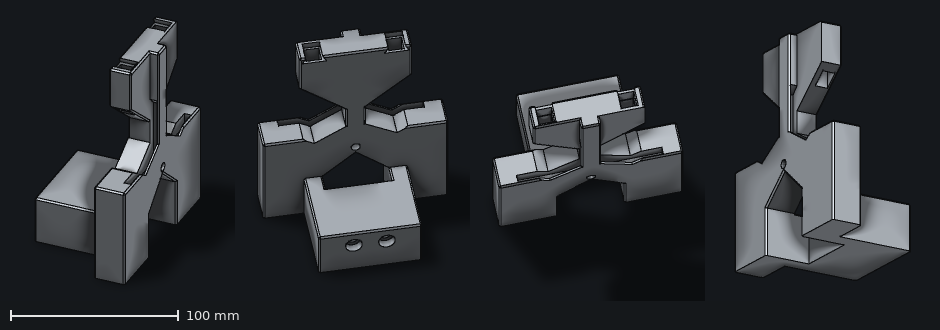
import cadquery as cq
import math

plate_thickness = 20.1
body_width = 112.0
body_height = 63.0
total_height = 133.0
edge_chamfer = 1.0

margin = 0.1

head_width = 68.0
head_thickness = 14.4
head_side_bottom = 107.2
neck_width = 12.0
neck_top = 84.3

notch_y = 25.0
notch_bottom = 59.2
notch_angle = math.radians(30)

block_length = 49.9
block_width = 62.6
block_height = 30.0
pocket_length = 10.0
opening_width = 40.2
opening_eaves = 29.9
opening_apex = 47.0

hole_diameter = 5.5
pin_hole_z = 51.5
screw_y = 10.0
screw_z = 20.0
counterbore_diameter = 10.0
counterbore_depth = 5.3

recess_length = 12.5
recess_depth = 3.9
recess_floor_width = 14.9
recess_top_width = 10.4
shaft_x = 6.4
shaft_side = 8.5
socket_side = 9.3
socket_depth = 10.6

slot_back = 18.8
slot_outer_y = 44.2
slot_inner_y = 1.3
slot_floor = 54.5
slot_top = 100.1
slot_slope_bottom = 95.6

neck_half = neck_width / 2
head_half = head_width / 2
opening_half = opening_width / 2
ridge_top = notch_bottom + (notch_y - neck_half) * math.tan(notch_angle)
recess_floor = total_height - recess_depth


def box(x_range, width, z_range, center_y=0):
    """Box spanning x_range and z_range, with its width centered on center_y."""
    length = x_range[1] - x_range[0]
    height = z_range[1] - z_range[0]
    block = cq.Workplane("XY").box(length, width, height, centered=(False, True, False))
    return block.translate((x_range[0], center_y, z_range[0]))


def prism(points, x_start, x_end):
    """Outline of (Y, Z) points extruded along X."""
    return cq.Workplane("YZ", origin=(x_start, 0, 0)).polyline(points).close().extrude(x_end - x_start)


def x_cylinder(diameter, y, z, x_start, x_end):
    """Round cutter along X."""
    return cq.Workplane("YZ", origin=(x_start, y, z)).circle(diameter / 2).extrude(x_end - x_start)


def make_body():
    """Wide lower plate with a ridge rising to the neck and a V notch on each side of it."""
    body = box((0, plate_thickness), body_width, (0, body_height))
    body = body.edges("not <Z").chamfer(edge_chamfer)
    body = body.union(box((0, plate_thickness), 2 * notch_y, (notch_bottom, ridge_top)))
    for side in (-1, 1):
        notch = [
            (side * neck_half, ridge_top),
            (side * notch_y, notch_bottom),
            (side * (2 * notch_y - neck_half), ridge_top),
        ]
        body = body.cut(prism(notch, 0, plate_thickness))
    return body


def make_head():
    """Flared head and neck, with a narrow column behind reaching the back of the plate."""
    right_side = [
        (neck_half, notch_bottom),
        (neck_half, neck_top),
        (head_half, head_side_bottom),
        (head_half, total_height),
    ]
    left_side = [(-y, z) for y, z in reversed(right_side)]
    front = prism(right_side + left_side, 0, head_thickness)
    front = front.faces("<X").edges().add(front.faces(">Z").edges("|X")).chamfer(edge_chamfer)

    column = box((edge_chamfer, plate_thickness), neck_width, (notch_bottom, total_height))
    column = column.faces(">X").edges().add(column.faces(">Z").edges("|X")).chamfer(edge_chamfer)
    head = front.union(column)

    rear_zone = cq.selectors.BoxSelector(
        (head_thickness - margin, -head_half - margin, neck_top),
        (head_thickness + margin, -neck_half - margin, total_height + margin),
    )
    return head.edges(rear_zone).chamfer(edge_chamfer)


def make_block():
    """Foot block in front of the plate, with a pocket open to the plate and a beveled rim."""
    block = box((-block_length, 0), block_width, (0, block_height))
    block = block.edges("not (<Z or >X)").chamfer(edge_chamfer)
    block = block.cut(box((-pocket_length, 0), opening_width, (0, block_height)))
    rim_zone = cq.selectors.BoxSelector(
        (-pocket_length - margin, -opening_half - margin, block_height - margin),
        (-margin, opening_half + margin, block_height + margin),
    )
    return block.edges(rim_zone).chamfer(edge_chamfer)


def cut_opening(part):
    """House-shaped opening through the plate, beveled at the back."""
    outline = [
        (opening_half, 0),
        (opening_half, opening_eaves),
        (0, opening_apex),
        (-opening_half, opening_eaves),
        (-opening_half, 0),
    ]
    part = part.cut(prism(outline, 0, plate_thickness))
    back_zone = cq.selectors.BoxSelector(
        (plate_thickness - margin, -opening_half - margin, margin),
        (plate_thickness + margin, opening_half + margin, opening_apex),
    )
    return part.edges(back_zone).chamfer(edge_chamfer)


def cut_round_holes(part):
    """Pin hole through the plate and two counterbored screw holes through the block."""
    part = part.cut(x_cylinder(hole_diameter, 0, pin_hole_z, 0, plate_thickness))
    for y in (-screw_y, screw_y):
        part = part.cut(x_cylinder(hole_diameter, y, screw_z, -block_length, 0))
        counterbore_floor = counterbore_depth - block_length
        part = part.cut(x_cylinder(counterbore_diameter, y, screw_z, -block_length, counterbore_floor))
    return part


def cut_recess_and_shaft(part, center_y):
    """Dovetail recess in the top of the head, with a stepped square shaft down to the notch."""
    dovetail = [
        (center_y - recess_floor_width / 2, recess_floor),
        (center_y + recess_floor_width / 2, recess_floor),
        (center_y + recess_top_width / 2, total_height),
        (center_y - recess_top_width / 2, total_height),
    ]
    part = part.cut(prism(dovetail, 0, recess_length))
    for side, bottom in ((socket_side, recess_floor - socket_depth), (shaft_side, neck_top)):
        x_range = (shaft_x - side / 2, shaft_x + side / 2)
        part = part.cut(box(x_range, side, (bottom, recess_floor), center_y))
    return part


def cut_slot(part, side):
    """Flat slot inside the plate, with a sloped roof under the column."""
    outline = [
        (side * slot_inner_y, slot_floor),
        (side * slot_inner_y, slot_slope_bottom),
        (side * neck_half, slot_top),
        (side * slot_outer_y, slot_top),
        (side * slot_outer_y, slot_floor),
    ]
    return part.cut(prism(outline, head_thickness, slot_back))


result = make_body().union(make_head()).union(make_block())
result = cut_opening(result)
result = cut_round_holes(result)
for side in (-1, 1):
    result = cut_recess_and_shaft(result, side * notch_y)
    result = cut_slot(result, side)